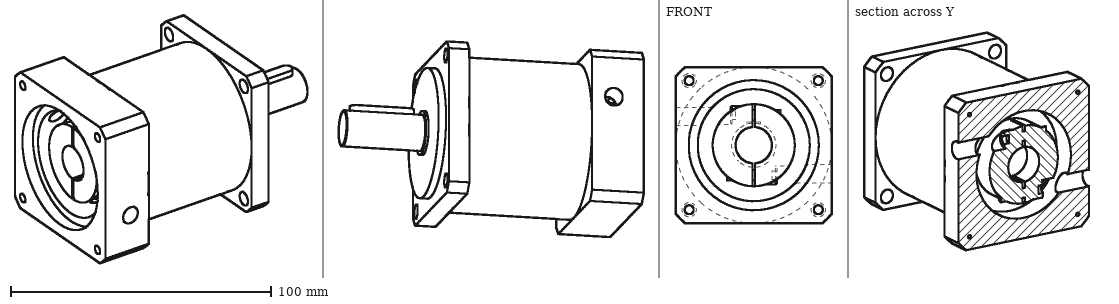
import cadquery as cq
import math


FLANGE_SIZE = 60.0
CORNER_DIAMETER = 80.0
MOTOR_FLANGE_LENGTH = 20.5
BODY_END = 69.0
OUTPUT_FLANGE_END = 77.0
OUTPUT_PILOT_DIAMETER = 50.3
OUTPUT_PILOT_END = 80.0
MOTOR_PILOT_DIAMETER = 50.1
MOTOR_PILOT_DEPTH = 4.9
CLAMP_CAVITY_DIAMETER = 43.1
CLAMP_CAVITY_DEPTH = MOTOR_FLANGE_LENGTH
BOLT_SPACING = 49.6
MOTOR_HOLE_DIAMETER = 3.5
MOTOR_HOLE_DEPTH = 10.1
DRILL_POINT_ANGLE = 118.0
OUTPUT_HOLE_DIAMETER = 5.5
ACCESS_HOLE_DIAMETER = 7.0
ACCESS_HOLE_Y = 11.9
ACCESS_HOLE_HEIGHT = 11.0

JOURNAL_DIAMETER = 17.0
JOURNAL_END = 81.0
SHAFT_DIAMETER = 14.0
SHAFT_END = 112.0
SHAFT_CHAMFER = 0.3
KEY_WIDTH = 5.0
KEY_START = 83.9
KEY_LENGTH = 25.2
KEY_TOP = 9.0
CLAMP_DIAMETER = 31.6
CLAMP_FRONT = 6.0
CLAMP_BORE_DIAMETER = SHAFT_DIAMETER
CLAMP_BORE_DEPTH = 13.0
CLAMP_SLIT_WIDTH = 1.0
SCREW_Y = 10.8
SCREW_HEIGHT = 11.5
SCREW_DIAMETER = 4.0
SCREW_TIP = 10.3
SCREW_HEAD_DIAMETER = 7.0
SCREW_HEAD_LENGTH = 4.0
SCREW_HEAD_END = 9.0
SCREW_HEAD_CHAMFER = 0.6
SCREW_SOCKET_DIAMETER = 3.1
SCREW_SOCKET_DEPTH = 2.0


def cylinder_y(diameter, start, end):
    """Cylinder on the gearbox axis between two Y positions."""
    return cq.Workplane("XZ", origin=(0, start, 0)).circle(diameter / 2).extrude(start - end)


def cylinder_x(diameter, start, end, y, z):
    """Cylinder parallel to X between two X positions."""
    return cq.Workplane("YZ", origin=(start, y, z)).circle(diameter / 2).extrude(end - start)


def square_flange(start, end):
    """Square flange whose corners are turned to a common diameter."""
    middle = (start + end) / 2
    block = cq.Workplane("XY").box(FLANGE_SIZE, end - start, FLANGE_SIZE).translate((0, middle, 0))
    return block.intersect(cylinder_y(CORNER_DIAMETER, start, end))


def flange_hole_centres():
    half = BOLT_SPACING / 2
    return [(x, z) for x in (-half, half) for z in (-half, half)]


def motor_screw_hole(x, z):
    """Blind drilled hole in the motor face, with a conical end."""
    radius = MOTOR_HOLE_DIAMETER / 2
    point_length = radius / math.tan(math.radians(DRILL_POINT_ANGLE / 2))
    profile = (
        cq.Workplane("XY")
        .moveTo(0, 0)
        .lineTo(radius, 0)
        .lineTo(radius, MOTOR_HOLE_DEPTH)
        .lineTo(0, MOTOR_HOLE_DEPTH + point_length)
        .close()
    )
    return profile.revolve(360, (0, 0, 0), (0, 1, 0)).translate((x, 0, z))


def make_housing():
    housing = square_flange(0, MOTOR_FLANGE_LENGTH)
    housing = housing.union(cylinder_y(FLANGE_SIZE, MOTOR_FLANGE_LENGTH, BODY_END))
    housing = housing.union(square_flange(BODY_END, OUTPUT_FLANGE_END))
    housing = housing.union(cylinder_y(OUTPUT_PILOT_DIAMETER, OUTPUT_FLANGE_END, OUTPUT_PILOT_END))

    housing = housing.cut(cylinder_y(MOTOR_PILOT_DIAMETER, 0, MOTOR_PILOT_DEPTH))
    housing = housing.cut(cylinder_y(CLAMP_CAVITY_DIAMETER, MOTOR_PILOT_DEPTH, CLAMP_CAVITY_DEPTH))
    housing = housing.cut(cylinder_y(JOURNAL_DIAMETER, CLAMP_CAVITY_DEPTH, OUTPUT_PILOT_END))

    for x, z in flange_hole_centres():
        housing = housing.cut(motor_screw_hole(x, z))
        through_hole = cylinder_y(OUTPUT_HOLE_DIAMETER, BODY_END, OUTPUT_FLANGE_END)
        housing = housing.cut(through_hole.translate((x, 0, z)))

    for side in (-1, 1):
        height = -side * ACCESS_HOLE_HEIGHT
        outer_face = side * FLANGE_SIZE / 2
        access_hole = cylinder_x(ACCESS_HOLE_DIAMETER, 0, outer_face, ACCESS_HOLE_Y, height)
        housing = housing.cut(access_hole)
    return housing


def make_output_shaft():
    """Journal inside the housing and the keyed shaft end outside it."""
    shaft_end = cylinder_y(SHAFT_DIAMETER, JOURNAL_END, SHAFT_END).faces(">Y").chamfer(SHAFT_CHAMFER)
    key = (
        cq.Workplane("XY")
        .center(0, KEY_START + KEY_LENGTH / 2)
        .slot2D(KEY_LENGTH, KEY_WIDTH, 90)
        .extrude(KEY_TOP)
    )
    return cylinder_y(JOURNAL_DIAMETER, CLAMP_CAVITY_DEPTH, JOURNAL_END).union(shaft_end).union(key)


def clamp_screw():
    """Socket head screw of the upper side, with its head toward -X."""
    head_face = -SCREW_HEAD_END
    head_seat = head_face + SCREW_HEAD_LENGTH
    shank = cylinder_x(SCREW_DIAMETER, head_seat, SCREW_TIP, SCREW_Y, SCREW_HEIGHT)
    head = cylinder_x(SCREW_HEAD_DIAMETER, head_face, head_seat, SCREW_Y, SCREW_HEIGHT)
    head = head.faces("<X").chamfer(SCREW_HEAD_CHAMFER)
    socket_end = head_face + SCREW_SOCKET_DEPTH
    socket = cylinder_x(SCREW_SOCKET_DIAMETER, head_face, socket_end, SCREW_Y, SCREW_HEIGHT)
    return head.union(shank).cut(socket)


def clamp_screw_recess():
    """Counterbore that opens the hub from its -X side down to the screw head's seat."""
    head_seat = -SCREW_HEAD_END + SCREW_HEAD_LENGTH
    return cylinder_x(SCREW_HEAD_DIAMETER, -CLAMP_DIAMETER / 2, head_seat, SCREW_Y, SCREW_HEIGHT)


def make_clamp():
    """Slit clamping hub for the motor shaft, tightened by two opposed screws."""
    bore_end = CLAMP_FRONT + CLAMP_BORE_DEPTH
    bore = cylinder_y(CLAMP_BORE_DIAMETER, CLAMP_FRONT, bore_end)
    slit = (
        cq.Workplane("XY")
        .box(CLAMP_SLIT_WIDTH, CLAMP_BORE_DEPTH, CLAMP_DIAMETER)
        .translate((0, CLAMP_FRONT + CLAMP_BORE_DEPTH / 2, 0))
    )
    clamp = cylinder_y(CLAMP_DIAMETER, CLAMP_FRONT, CLAMP_CAVITY_DEPTH).cut(bore).cut(slit)
    for angle in (0, 180):
        clamp = clamp.cut(clamp_screw_recess().rotate((0, 0, 0), (0, 1, 0), angle))
        clamp = clamp.union(clamp_screw().rotate((0, 0, 0), (0, 1, 0), angle))
    return clamp


housing = make_housing()
rotor = make_output_shaft().union(make_clamp())

result = cq.Compound.makeCompound([housing.solids().val(), rotor.solids().val()])